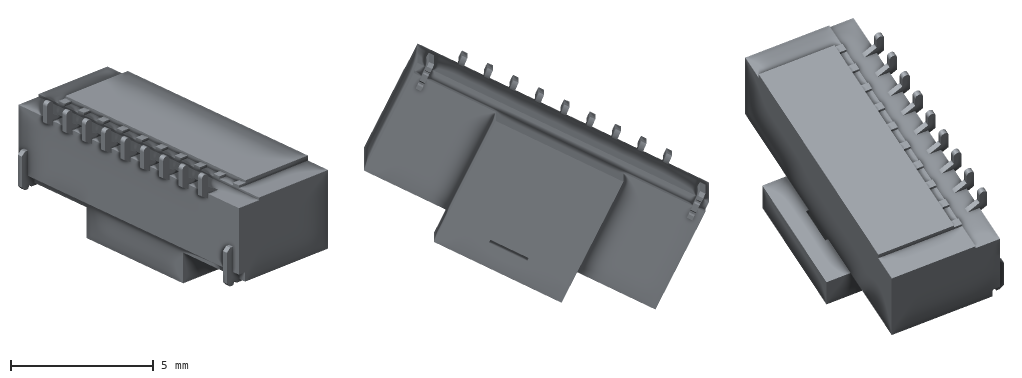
import cadquery as cq
import math


shell_length = 11.4
shell_depth = 4.25
ledge_height = 2.95
ledge_depth = 0.96
shelf_height = 3.05
rebate_depth = 0.3
rebate_height = 0.36

contact_count = 9
contact_row_length = 8.0
contact_pitch = contact_row_length / (contact_count - 1)
contact_width = 0.2
contact_top = 3.75
contact_bend = 2.94
contact_joint = 3.23
contact_slope = math.radians(30)
solder_plane = -0.3

rib_width = 0.31
rib_height = 3.16
plate_front = 1.28
plate_height = 3.25
plate_width = contact_count * contact_pitch + rib_width

tab_offset = 5.3
tab_width = 0.2
tab_top = 1.36
tab_back = 0.74
tab_foot = -0.15
tab_middle = -0.1
tab_chamfer = 0.15
notch_roof = -0.03
notch_near = 0.14
notch_roof_near = 0.18
notch_roof_far = 0.25
notch_far = 0.3

hood_width = 4.99
hood_drop = 1.2
hood_back = 5.2
cheek_width = 0.48
slab_width = hood_width - 2 * cheek_width
slot_width = 1.5
slot_depth = 0.11


def centred_row(count, pitch):
    """X positions of an evenly spaced row centred on X = 0."""
    return [(i - (count - 1) / 2) * pitch for i in range(count)]


def box_between(width, y_front, y_back, z_low, z_high, x=0):
    """Box centred on x, spanning the given Y and Z ranges."""
    depth = y_back - y_front
    height = z_high - z_low
    box = cq.Workplane("XY").box(width, depth, height, centered=(True, False, False))
    return box.translate((x, y_front, z_low))


def make_shell():
    """Stepped block with the raised plate and its row of ribs."""
    shell = (
        cq.Workplane("YZ")
        .moveTo(rebate_depth, 0)
        .lineTo(shell_depth, 0)
        .lineTo(shell_depth, shelf_height)
        .lineTo(ledge_depth, shelf_height)
        .lineTo(ledge_depth, ledge_height)
        .lineTo(0, ledge_height)
        .lineTo(0, rebate_height)
        .lineTo(rebate_depth, rebate_height)
        .close()
        .extrude(shell_length / 2, both=True)
    )
    plate = box_between(plate_width, plate_front, shell_depth, shelf_height, plate_height)
    shell = shell.union(plate)
    for x in centred_row(contact_count + 1, contact_pitch):
        rib = box_between(rib_width, ledge_depth, plate_front, shelf_height, rib_height, x)
        shell = shell.union(rib)
    return shell


def make_hood():
    """Block below the shell, open at the back between two cheeks."""
    hood = box_between(hood_width, rebate_depth, hood_back, -hood_drop, 0)
    opening = box_between(slab_width, shell_depth, hood_back, -hood_drop, 0)
    return hood.cut(opening)


def make_contact(x):
    """Round-topped upright tail on a sloping arm that runs into the ledge."""
    tip_radius = -solder_plane / 2
    arm_end = (contact_joint - ledge_height) / math.tan(contact_slope)
    arm_low = contact_bend + solder_plane * math.tan(contact_slope)
    contact = (
        cq.Workplane("YZ")
        .moveTo(solder_plane, contact_bend)
        .lineTo(solder_plane, contact_top - tip_radius)
        .threePointArc((-tip_radius, contact_top), (0, contact_top - tip_radius))
        .lineTo(0, contact_joint)
        .lineTo(arm_end, ledge_height)
        .lineTo(0, ledge_height)
        .lineTo(0, arm_low)
        .close()
        .extrude(contact_width / 2, both=True)
    )
    return contact.translate((x, 0, 0))


def make_tab(x):
    """Chamfered end tab that fills the rebate and hooks under the shell, with two notches."""
    tab = (
        cq.Workplane("YZ")
        .moveTo(0, tab_top)
        .lineTo(solder_plane + tab_chamfer, tab_top)
        .lineTo(solder_plane, tab_top - tab_chamfer)
        .lineTo(solder_plane, tab_foot + tab_chamfer)
        .lineTo(solder_plane + tab_chamfer, tab_foot)
        .lineTo(rebate_depth - notch_far, tab_foot)
        .lineTo(rebate_depth - notch_roof_far, notch_roof)
        .lineTo(rebate_depth - notch_roof_near, notch_roof)
        .lineTo(rebate_depth - notch_near, tab_middle)
        .lineTo(rebate_depth + notch_near, tab_middle)
        .lineTo(rebate_depth + notch_roof_near, notch_roof)
        .lineTo(rebate_depth + notch_roof_far, notch_roof)
        .lineTo(rebate_depth + notch_far, tab_foot)
        .lineTo(tab_back, tab_foot)
        .lineTo(tab_back, 0)
        .lineTo(rebate_depth, 0)
        .lineTo(rebate_depth, rebate_height)
        .lineTo(0, rebate_height)
        .close()
        .extrude(tab_width / 2, both=True)
    )
    return tab.translate((x, 0, 0))


def make_housing():
    """Shell, hood, contacts and end tabs as one solid."""
    housing = make_shell().union(make_hood())
    for x in centred_row(contact_count, contact_pitch):
        housing = housing.union(make_contact(x))
    for x in (-tab_offset, tab_offset):
        housing = housing.union(make_tab(x))
    return housing


def make_slab():
    """Slab filling the hood opening, with a slot through it behind the shell."""
    slab = box_between(slab_width, shell_depth, hood_back, -hood_drop, 0)
    slot = box_between(slot_width, shell_depth, shell_depth + slot_depth, -hood_drop, 0)
    return slab.cut(slot)


housing = make_housing()
slab = make_slab()

result = cq.Compound.makeCompound([housing.solids().val(), slab.solids().val()])